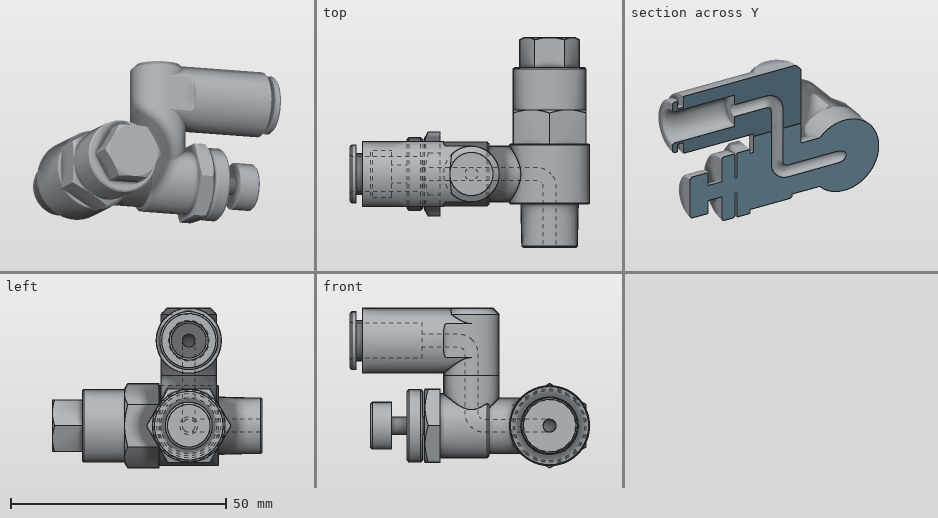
import cadquery as cq
import math


RING_RADIUS = 9.3
RING_HALF_LENGTH = 6.95
RING_CHAMFER = 0.2
THREAD_END_Y = -17.05
THREAD_ROOT_RADIUS = 6.7
THREAD_TIP_RADIUS = 6.45
THREAD_CHAMFER = 0.35
WRENCH_SIZE = 17.0
WRENCH_HEX_END_Y = 14.9
BONNET_RADIUS = 8.45
BONNET_END_Y = 24.7
BONNET_CHAMFER = 0.35
END_HEX_SIZE = 12.0
END_HEX_END_Y = 31.65

SHANK_RADIUS = 6.45
SLEEVE_RADIUS = 7.45
SLEEVE_RIGHT_X = -14.0
SLEEVE_CHAMFER = 0.5
NUT_RIGHT_X = -25.45
NUT_LENGTH = 3.6
NUT_FACE_RADIUS = 8.25
LOCK_DISC_RADIUS = 8.45
LOCK_DISC_RIGHT_X = -29.45
LOCK_DISC_LENGTH = 3.7
LOCK_DISC_CHAMFER = 0.5
SPINDLE_RADIUS = 2.05
KNOB_RADIUS = 5.45
KNOB_RIGHT_X = -36.7
KNOB_LENGTH = 4.95
KNOB_CHAMFER = 0.5

STEM_X = -18.15
STEM_RADIUS = 6.45
ELBOW_BOTTOM_Z = 11.7
STEM_TOP_CHAMFER = 1.45

TUBE_Z = 19.75
TUBE_RADIUS = 7.55
TUBE_LEFT_X = -43.45
COLLAR_LEFT_X = -46.35
COLLAR_RADIUS = 6.75
COLLAR_LENGTH = 1.45
COLLAR_CHAMFER = 0.45
COLLAR_NECK_RADIUS = 4.75
BORE_RADIUS = 4.05
BORE_DEPTH = 16.7
FLAT_FILLET = 0.85

CHANNEL_RADIUS = 1.5
BEND_RADIUS = 3.0

HEX_CHAMFER_ANGLE = 30.0
HEX_CORNER_TO_FLAT_ANGLE = 30.0


def rod_x(radius, left, right, z=0):
    """Round rod along X from left to right."""
    return cq.Workplane("YZ", origin=(left, 0, z)).circle(radius).extrude(right - left)


def rod_y(radius, front, back):
    """Round rod along Y from front to back."""
    return cq.Workplane("XZ", origin=(0, front, 0)).circle(radius).extrude(front - back)


def corner_radius(size):
    """Distance from the centre of a hexagon to its corners, from its size across flats."""
    return size / math.sqrt(3)


def chamfered_hex(size, length, face_radius):
    """Hexagon along +Z with corners on X, its top corners cut back by a cone."""
    tip = corner_radius(size)
    drop = (tip - face_radius) * math.tan(math.radians(HEX_CHAMFER_ANGLE))
    prism = cq.Workplane("XY").polygon(6, 2 * tip).extrude(length)
    envelope = (
        cq.Workplane("XZ")
        .polyline([(0, 0), (tip, 0), (tip, length - drop), (face_radius, length), (0, length)])
        .close()
        .revolve(360, (0, 0, 0), (0, 1, 0))
    )
    return prism.intersect(envelope)


def hex_along_y(hexagon, start):
    """Turn a hexagon from +Z to +Y and start it at the given Y."""
    return hexagon.rotate((0, 0, 0), (1, 0, 0), -90).translate((0, start, 0))


def tapered_thread():
    """Plain tapered envelope of the male thread, from the banjo axis to the tip."""
    tip_start = THREAD_END_Y + THREAD_CHAMFER
    profile = [
        (0, 0),
        (THREAD_ROOT_RADIUS, 0),
        (THREAD_ROOT_RADIUS, -RING_HALF_LENGTH),
        (THREAD_TIP_RADIUS, tip_start),
        (THREAD_TIP_RADIUS - THREAD_CHAMFER, THREAD_END_Y),
        (0, THREAD_END_Y),
    ]
    return cq.Workplane("XY").polyline(profile).close().revolve(360, (0, 0, 0), (0, 1, 0))


def make_banjo():
    """Thread, ring, hexagons and bonnet stacked along Y."""
    ring = rod_y(RING_RADIUS, -RING_HALF_LENGTH, RING_HALF_LENGTH).faces("<Y or >Y").chamfer(RING_CHAMFER)
    wrench_hex = chamfered_hex(WRENCH_SIZE, WRENCH_HEX_END_Y - RING_HALF_LENGTH, WRENCH_SIZE / 2)
    wrench_hex = wrench_hex.rotate((0, 0, 0), (0, 0, 1), HEX_CORNER_TO_FLAT_ANGLE)
    bonnet = rod_y(BONNET_RADIUS, WRENCH_HEX_END_Y, BONNET_END_Y).faces(">Y").chamfer(BONNET_CHAMFER)
    end_hex = chamfered_hex(END_HEX_SIZE, END_HEX_END_Y - BONNET_END_Y, END_HEX_SIZE / 2)
    return (
        ring.union(tapered_thread())
        .union(hex_along_y(wrench_hex, RING_HALF_LENGTH))
        .union(bonnet)
        .union(hex_along_y(end_hex, BONNET_END_Y))
    )


def make_valve():
    """Shank, sleeve, nut, lock disc and knob stacked along -X."""
    nut_left = NUT_RIGHT_X - NUT_LENGTH
    disc_left = LOCK_DISC_RIGHT_X - LOCK_DISC_LENGTH
    knob_left = KNOB_RIGHT_X - KNOB_LENGTH
    shank = rod_x(SHANK_RADIUS, SLEEVE_RIGHT_X, 0)
    sleeve = rod_x(SLEEVE_RADIUS, NUT_RIGHT_X, SLEEVE_RIGHT_X).faces(">X").chamfer(SLEEVE_CHAMFER)
    nut = (
        chamfered_hex(WRENCH_SIZE, NUT_LENGTH, NUT_FACE_RADIUS)
        .rotate((0, 0, 0), (0, 0, 1), HEX_CORNER_TO_FLAT_ANGLE)
        .rotate((0, 0, 0), (0, 1, 0), -90)
        .translate((NUT_RIGHT_X, 0, 0))
    )
    spindle = rod_x(SPINDLE_RADIUS, KNOB_RIGHT_X, nut_left)
    disc = rod_x(LOCK_DISC_RADIUS, disc_left, LOCK_DISC_RIGHT_X).faces("<X or >X").chamfer(LOCK_DISC_CHAMFER)
    knob = rod_x(KNOB_RADIUS, knob_left, KNOB_RIGHT_X).faces("<X").chamfer(KNOB_CHAMFER)
    return shank.union(sleeve).union(nut).union(spindle).union(disc).union(knob)


def bent_channel(start, corner, end):
    """Round channel from start to end with a rounded right-angle bend at the corner."""
    start, corner, end = cq.Vector(*start), cq.Vector(*corner), cq.Vector(*end)
    inward = (corner - start).normalized()
    outward = (end - corner).normalized()
    bend_start = corner - inward * BEND_RADIUS
    bend_end = corner + outward * BEND_RADIUS
    path = cq.Wire.assembleEdges(
        [
            cq.Edge.makeLine(start, bend_start),
            cq.Edge.makeTangentArc(bend_start, inward, bend_end),
            cq.Edge.makeLine(bend_end, end),
        ]
    )
    return cq.Workplane(cq.Plane(start, normal=inward)).circle(CHANNEL_RADIUS).sweep(path)


def make_valve_body():
    """Banjo and valve with the lower stem, and the channel from the thread up to the elbow."""
    lower_stem = cq.Workplane("XY", origin=(STEM_X, 0, 0)).circle(STEM_RADIUS).extrude(ELBOW_BOTTOM_Z)
    middle = (STEM_X / 2, 0, 0)
    inlet = bent_channel((0, THREAD_END_Y, 0), (0, 0, 0), middle)
    riser = bent_channel(middle, (STEM_X, 0, 0), (STEM_X, 0, ELBOW_BOTTOM_Z))
    return make_banjo().union(make_valve()).union(lower_stem).cut(inlet).cut(riser)


def flat_cutter(side):
    """Block outside one side of the stem, its inner left edge rounded for a filleted run-out."""
    left = STEM_X - STEM_RADIUS
    cutter = (
        cq.Workplane("XY", origin=(left, side * STEM_RADIUS, TUBE_Z))
        .box(2 * STEM_RADIUS, TUBE_RADIUS, 2 * TUBE_RADIUS, centered=(False, True, True))
        .translate((0, side * TUBE_RADIUS / 2, 0))
    )
    inner_face = "<Y" if side > 0 else ">Y"
    return cutter.faces(inner_face).edges("<X").fillet(FLAT_FILLET)


def make_tube():
    """Horizontal tube with two wrench flats in line with the sides of the stem."""
    tube = rod_x(TUBE_RADIUS, TUBE_LEFT_X, STEM_X, TUBE_Z)
    for side in (-1, 1):
        tube = tube.cut(flat_cutter(side))
    return tube


def make_elbow():
    """Upper stem, tube and release collar, with the tube bore and its channel."""
    stem_height = TUBE_Z + TUBE_RADIUS - ELBOW_BOTTOM_Z
    stem = cq.Workplane("XY", origin=(STEM_X, 0, ELBOW_BOTTOM_Z)).circle(STEM_RADIUS).extrude(stem_height)
    stem = stem.faces(">Z").chamfer(STEM_TOP_CHAMFER)
    collar = rod_x(COLLAR_RADIUS, COLLAR_LEFT_X, COLLAR_LEFT_X + COLLAR_LENGTH, TUBE_Z)
    collar = collar.faces("<X").chamfer(COLLAR_CHAMFER)
    neck = rod_x(COLLAR_NECK_RADIUS, COLLAR_LEFT_X + COLLAR_LENGTH, TUBE_LEFT_X, TUBE_Z)
    bore = rod_x(BORE_RADIUS, COLLAR_LEFT_X, COLLAR_LEFT_X + BORE_DEPTH, TUBE_Z)
    channel = bent_channel(
        (COLLAR_LEFT_X + BORE_DEPTH, 0, TUBE_Z),
        (STEM_X, 0, TUBE_Z),
        (STEM_X, 0, ELBOW_BOTTOM_Z),
    )
    elbow = stem.union(make_tube()).union(neck).union(collar).cut(bore).cut(channel)
    bore_rim = cq.selectors.RadiusNthSelector(0)
    return elbow.faces("<X").edges(bore_rim).chamfer(COLLAR_CHAMFER)


valve_body = make_valve_body()
elbow = make_elbow()
result = cq.Compound.makeCompound([valve_body.val(), elbow.val()])